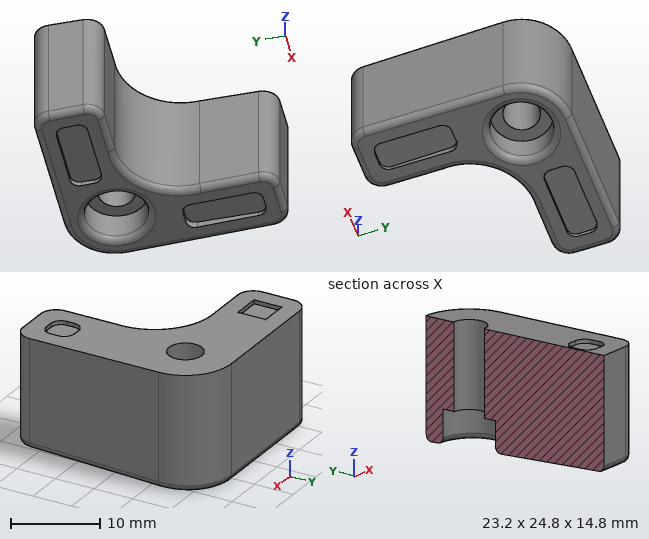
import cadquery as cq
import math

WIDTH = 23.17
LENGTH = 24.75
HEIGHT = 14.75

LEG_WIDTH = 8.0
OUTER_RADIUS = 6.0
INNER_ARC_SETBACK = 8.0
INNER_ARC_RADIUS = 7.5
END_RADIUS = 2.0

TILT_DEGREES = 2.3
BOTTOM_FILLET = 0.8

HOLE_DIAMETER = 4.2
COUNTERBORE_DIAMETER = 7.2
COUNTERBORE_DEPTH = 3.95

POCKET_WIDTH = 3.6
POCKET_LENGTH = 9.2
POCKET_DEPTH = 0.5
POCKET_MARGIN = (LEG_WIDTH - POCKET_WIDTH) / 2
TOP_POCKET_RADIUS = 1.3
BOTTOM_POCKET_RADIUS = 1.1

TILT = math.radians(TILT_DEGREES)
FILLET_LIFT = BOTTOM_FILLET * (math.tan(TILT) + 1 / math.cos(TILT) - 1)
BACK_HEIGHT = HEIGHT + FILLET_LIFT


def underside_z(y):
    """Height of the sloping underside at y."""
    return -BACK_HEIGHT - y * math.tan(TILT)


def round_corner(block, x, y, radius):
    """Round the vertical edge of the block at x, y."""
    corner = cq.selectors.NearestToPointSelector((x, y, -BACK_HEIGHT / 2))
    return block.edges("|Z").edges(corner).fillet(radius)


def make_body():
    """L-shaped block with a sloping underside and rounded vertical edges."""
    end_corners = [
        (-WIDTH, 0),
        (-WIDTH, -LEG_WIDTH),
        (-LEG_WIDTH, -LENGTH),
        (0, -LENGTH),
    ]
    arc_end = -LEG_WIDTH - INNER_ARC_SETBACK
    block = (
        cq.Workplane("XY")
        .polyline([(0, 0), *end_corners[:2], (arc_end, -LEG_WIDTH)])
        .radiusArc((-LEG_WIDTH, arc_end), INNER_ARC_RADIUS)
        .lineTo(*end_corners[2])
        .lineTo(*end_corners[3])
        .close()
        .extrude(-BACK_HEIGHT)
    )
    block = round_corner(block, 0, 0, OUTER_RADIUS)
    for x, y in end_corners:
        block = round_corner(block, x, y, END_RADIUS)

    side_profile = [(0, 0), (0, underside_z(0)), (-LENGTH, underside_z(-LENGTH)), (-LENGTH, 0)]
    envelope = cq.Workplane("YZ").polyline(side_profile).close().extrude(-WIDTH)
    return block.intersect(envelope)


def make_screw_hole():
    """Through hole with a counterbore opening on the underside."""
    centre = (-OUTER_RADIUS, -OUTER_RADIUS)
    bore = cq.Workplane("XY").center(*centre).circle(HOLE_DIAMETER / 2).extrude(-BACK_HEIGHT)
    seat_z = underside_z(centre[1]) + COUNTERBORE_DEPTH
    counterbore = (
        cq.Workplane("XY", origin=(0, 0, seat_z))
        .center(*centre)
        .circle(COUNTERBORE_DIAMETER / 2)
        .extrude(-BACK_HEIGHT)
    )
    return bore.union(counterbore)


def make_top_pocket(x, y):
    """Square recess in the top, centred at x, y."""
    return (
        cq.Workplane("XY")
        .center(x, y)
        .rect(POCKET_WIDTH, POCKET_WIDTH)
        .extrude(-POCKET_DEPTH)
    )


def make_bottom_pocket(x, y, size_x, size_y):
    """Rounded recess in the underside with a level floor, centred at x, y."""
    floor_z = underside_z(y - size_y / 2) + POCKET_DEPTH
    return (
        cq.Workplane("XY", origin=(x, y, floor_z))
        .rect(size_x, size_y)
        .extrude(-BACK_HEIGHT)
        .edges("|Z")
        .fillet(BOTTOM_POCKET_RADIUS)
    )


leg_centre = -LEG_WIDTH / 2
top_offset = POCKET_MARGIN + POCKET_WIDTH / 2
bottom_offset = POCKET_MARGIN + POCKET_LENGTH / 2

square_pocket = make_top_pocket(-WIDTH + top_offset, leg_centre)
round_pocket = make_top_pocket(leg_centre, -LENGTH + top_offset)
round_pocket = round_pocket.edges("|Z").fillet(TOP_POCKET_RADIUS)

x_leg_pocket = make_bottom_pocket(
    -WIDTH + bottom_offset, leg_centre, POCKET_LENGTH, POCKET_WIDTH
)
y_leg_pocket = make_bottom_pocket(
    leg_centre, -LENGTH + bottom_offset, POCKET_WIDTH, POCKET_LENGTH
)

result = make_body().cut(make_screw_hole())
result = result.faces("<Z").edges().fillet(BOTTOM_FILLET)
for pocket in (square_pocket, round_pocket, x_leg_pocket, y_leg_pocket):
    result = result.cut(pocket)